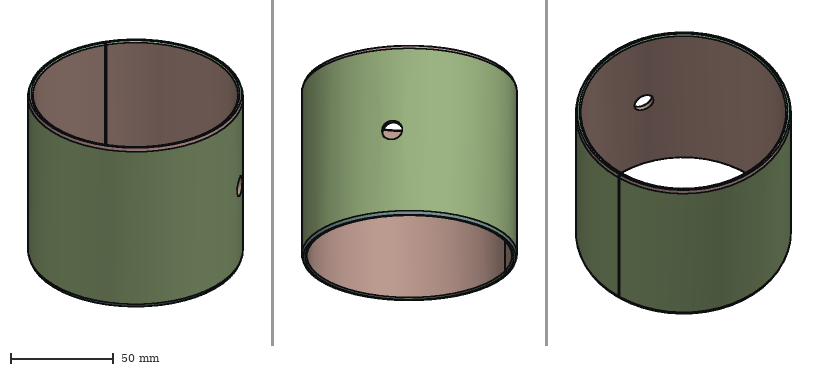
import cadquery as cq
import math

outer_diameter = 105.0
wall = 2.5
length = 90.0
outer_chamfer_height = 1.8
outer_chamfer_angle = 20.0
inner_chamfer = 0.8
slit_angle = 1.0
hole_diameter = 10.0
hole_from_slit = 120.0

outer_radius = outer_diameter / 2
inner_radius = outer_radius - wall
half_length = length / 2
outer_chamfer_depth = outer_chamfer_height * math.tan(math.radians(outer_chamfer_angle))
slit_start = 180.0
slit_end = slit_start - slit_angle
hole_direction = slit_end - hole_from_slit


def turned_about_axis(shape, angle):
    """Turn a shape about the sleeve axis Z."""
    return shape.rotate((0, 0, 0), (0, 0, 1), angle)


def make_split_sleeve():
    """Revolve the chamfered wall section almost a full turn, leaving a slit beside -X."""
    outer_end_radius = outer_radius - outer_chamfer_depth
    inner_end_radius = inner_radius + inner_chamfer
    outer_side_end = half_length - outer_chamfer_height
    inner_side_end = half_length - inner_chamfer
    section = [
        (inner_radius, -inner_side_end),
        (inner_end_radius, -half_length),
        (outer_end_radius, -half_length),
        (outer_radius, -outer_side_end),
        (outer_radius, outer_side_end),
        (outer_end_radius, half_length),
        (inner_end_radius, half_length),
        (inner_radius, inner_side_end),
    ]
    profile = cq.Workplane("XZ").polyline(section).close()
    sleeve = profile.revolve(360 - slit_angle, (0, 0), (0, 1))
    return turned_about_axis(sleeve, slit_start)


def make_oil_hole():
    """Radial hole through one side of the wall at mid-length."""
    hole = cq.Workplane("YZ").circle(hole_diameter / 2).extrude(outer_diameter)
    return turned_about_axis(hole, hole_direction)


result = make_split_sleeve().cut(make_oil_hole())